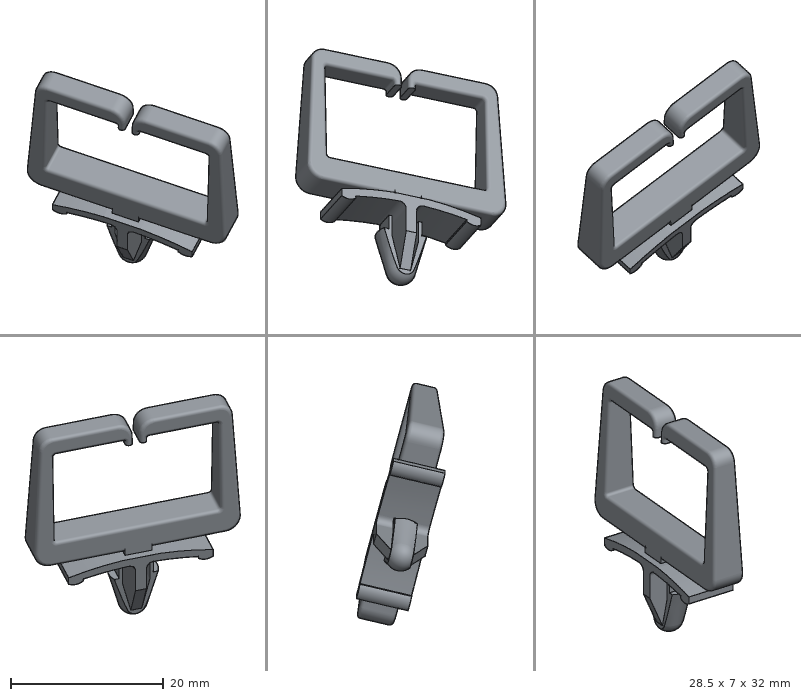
import cadquery as cq
import math


total_height = 32.0

frame_height = 20.13
frame_base_width = 28.7
side_lean = 3.1
lower_corner_radius = 2.15
upper_corner_radius = 1.8
frame_top_depth = 3.23
frame_base_depth = 5.0
edge_round = 0.48
window_width = 22.98
window_corner_radius = 0.4
top_bar_height = 2.5
bottom_bar_height = 3.6
frame_bottom = total_height - frame_height
window_bottom = frame_bottom + bottom_bar_height
window_top = total_height - top_bar_height

split_gap = 1.0
hook_thickness = 1.0
hook_height = 3.25
hook_outer_radius = 2.0
hook_inner_radius = 0.3

neck_width = 3.75
plate_length = 20.0
plate_depth = 7.0
plate_top = 11.4
plate_flat_width = 5.3
plate_top_radius = 43.2
plate_underside = 10.3
plate_underside_radius = 46.4
lip_width = 2.05
lip_bottom = 8.95
lip_inner_bottom = 9.35
lip_outer_bottom = 9.25

stem_thickness = 1.5
stem_fillet = 1.0
stem_taper_top = 6.0
stem_bottom = 1.38

foot_depth = 3.0
tip_radius = 2.0
foot_lean = 15.0
barb_top = 6.98
arm_top = 9.0
arm_thickness = 0.48
arm_gap_width = 3.78
arm_gap_straight_bottom = 5.95

selection_margin = 0.1


def extrude_through_depth(outline, depth):
    """Extrude an XZ outline symmetrically about Y = 0."""
    return outline.extrude(depth / 2, both=True)


def box_between(x_min, x_max, z_min, z_max):
    """Block over the given X and Z ranges, as deep as the plate."""
    outline = cq.Workplane("XZ").moveTo(x_min, z_min).lineTo(x_max, z_min)
    outline = outline.lineTo(x_max, z_max).lineTo(x_min, z_max).close()
    return extrude_through_depth(outline, plate_depth)


def select_level(half_width, height):
    """Selector for edges centred near a height and within a half width of X = 0."""
    x_limit = half_width + selection_margin
    return cq.selectors.BoxSelector(
        (-x_limit, -plate_depth, height - selection_margin),
        (x_limit, plate_depth, height + selection_margin),
    )


def make_depth_wedge():
    """Wedge whose sloping faces are the front and rear of frame and neck."""
    half_base = frame_base_depth / 2
    half_top = frame_top_depth / 2
    return (
        cq.Workplane("YZ")
        .polyline([
            (-half_base, plate_top),
            (half_base, plate_top),
            (half_top, total_height),
            (-half_top, total_height),
        ])
        .close()
        .extrude(frame_base_width / 2, both=True)
    )


def make_frame(depth_wedge):
    half_base = frame_base_width / 2
    half_top = half_base - frame_height * math.tan(math.radians(side_lean))
    outline = (
        cq.Workplane("XZ")
        .polyline([
            (-half_base, frame_bottom),
            (half_base, frame_bottom),
            (half_top, total_height),
            (-half_top, total_height),
        ])
        .close()
    )
    frame = extrude_through_depth(outline, plate_depth)
    frame = frame.faces("<Z").edges("|Y").fillet(lower_corner_radius)
    frame = frame.faces(">Z").edges("|Y").fillet(upper_corner_radius)

    half_window = window_width / 2
    window = box_between(-half_window, half_window, window_bottom, window_top)
    frame = frame.cut(window.edges("|Y").fillet(window_corner_radius))

    half_gap = split_gap / 2
    hook_side = half_gap + hook_thickness
    hook_bottom = total_height - hook_height
    frame = frame.union(box_between(-hook_side, hook_side, hook_bottom, total_height))
    hook_selector = select_level(hook_side, window_top)
    frame = frame.edges("|Y").edges(hook_selector).fillet(hook_inner_radius)
    frame = frame.cut(box_between(-half_gap, half_gap, window_bottom, total_height))
    gap_selector = select_level(hook_side, total_height)
    frame = frame.edges("|Y").edges(gap_selector).fillet(hook_outer_radius)

    frame = frame.intersect(depth_wedge)
    hook_ends = select_level(hook_side, hook_bottom)
    face_edges = frame.faces("<Y or >Y").edges(cq.selectors.InverseSelector(hook_ends))
    return face_edges.fillet(edge_round)


def make_neck(depth_wedge):
    half_neck = neck_width / 2
    neck_top = frame_bottom + bottom_bar_height / 2
    return box_between(-half_neck, half_neck, plate_top, neck_top).intersect(depth_wedge)


def drop(radius, offset):
    """Fall of a circular arc below its crown at a distance from the centre line."""
    return radius - math.sqrt(radius**2 - offset**2)


def make_plate():
    half_length = plate_length / 2
    half_flat = plate_flat_width / 2
    lip_inner = half_length - lip_width
    crown = plate_top + drop(plate_top_radius, half_flat)
    end_top = crown - drop(plate_top_radius, half_length)
    underside_end = plate_underside - drop(plate_underside_radius, lip_inner)
    lip_middle = half_length - lip_width / 2
    mid_arc = (half_flat + half_length) / 2
    mid_arc_height = crown - drop(plate_top_radius, mid_arc)
    outline = (
        cq.Workplane("XZ")
        .moveTo(-half_flat, plate_top)
        .lineTo(half_flat, plate_top)
        .threePointArc((mid_arc, mid_arc_height), (half_length, end_top))
        .lineTo(half_length, lip_outer_bottom)
        .threePointArc((lip_middle, lip_bottom), (lip_inner, lip_inner_bottom))
        .lineTo(lip_inner, underside_end)
        .threePointArc((0, plate_underside), (-lip_inner, underside_end))
        .lineTo(-lip_inner, lip_inner_bottom)
        .threePointArc((-lip_middle, lip_bottom), (-half_length, lip_outer_bottom))
        .lineTo(-half_length, end_top)
        .threePointArc((-mid_arc, mid_arc_height), (-half_flat, plate_top))
        .close()
    )
    return extrude_through_depth(outline, plate_depth)


def make_stem():
    """Flat blade below the plate, narrowing in depth down to the foot."""
    half_depth = plate_depth / 2
    half_foot = foot_depth / 2
    stem_top = (plate_top + plate_underside) / 2
    return (
        cq.Workplane("YZ")
        .polyline([
            (-half_depth, stem_top),
            (-half_depth, stem_taper_top),
            (-half_foot, stem_bottom),
            (half_foot, stem_bottom),
            (half_depth, stem_taper_top),
            (half_depth, stem_top),
        ])
        .close()
        .extrude(stem_thickness / 2, both=True)
    )


def make_plate_with_stem():
    body = make_plate().union(make_stem())
    half_stem = stem_thickness / 2
    junction = select_level(half_stem, plate_underside)
    return body.edges("|Y").edges(junction).fillet(stem_fillet)


def make_foot():
    """Round-tipped cone with two spring arms, cut to a narrow strip."""
    lean = math.radians(foot_lean)
    tangent_radius = tip_radius * math.cos(lean)
    tangent_height = tip_radius * (1 - math.sin(lean))
    barb_radius = tangent_radius + (barb_top - tangent_height) * math.tan(lean)
    mid_angle = (math.pi / 2 - lean) / 2
    tip_mid = (tip_radius * math.sin(mid_angle), tip_radius * (1 - math.cos(mid_angle)))
    cone = (
        cq.Workplane("XZ")
        .moveTo(0, 0)
        .threePointArc(tip_mid, (tangent_radius, tangent_height))
        .lineTo(barb_radius, barb_top)
        .lineTo(0, barb_top)
        .close()
        .revolve(360, (0, 0, 0), (0, 1, 0))
    )
    half_gap = arm_gap_width / 2
    half_stem = stem_thickness / 2
    arm_outer = half_gap + arm_thickness
    strip = extrude_through_depth(
        cq.Workplane("XZ").rect(2 * barb_radius, 2 * arm_top), foot_depth
    )
    arms = extrude_through_depth(
        cq.Workplane("XZ")
        .moveTo(-arm_outer, arm_gap_straight_bottom)
        .lineTo(arm_outer, arm_gap_straight_bottom)
        .lineTo(arm_outer, arm_top)
        .lineTo(-arm_outer, arm_top)
        .close(),
        foot_depth,
    )
    arm_gap = extrude_through_depth(
        cq.Workplane("XZ")
        .polyline([
            (-half_stem, stem_bottom),
            (half_stem, stem_bottom),
            (half_gap, arm_gap_straight_bottom),
            (half_gap, arm_top),
            (-half_gap, arm_top),
            (-half_gap, arm_gap_straight_bottom),
        ])
        .close(),
        foot_depth,
    )
    return cone.intersect(strip).union(arms).cut(arm_gap)


depth_wedge = make_depth_wedge()
result = (
    make_frame(depth_wedge)
    .union(make_neck(depth_wedge))
    .union(make_plate_with_stem())
    .union(make_foot())
)